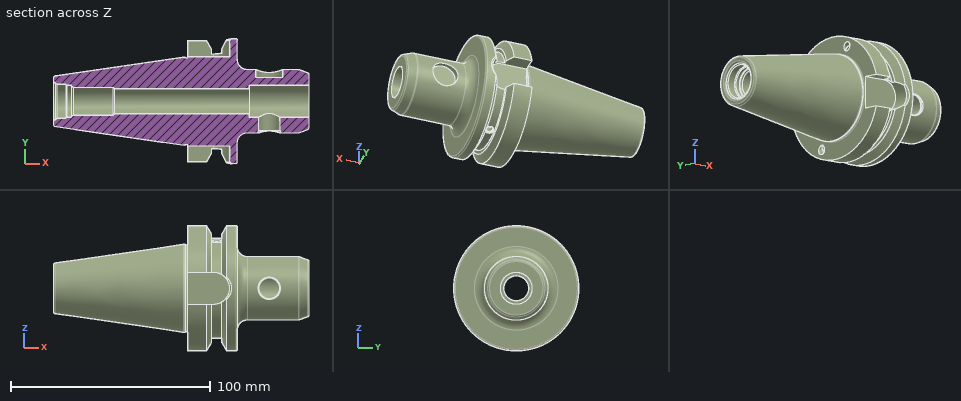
import cadquery as cq
import math


taper_length = 65.4
gauge_diameter = 44.45
taper_ratio = 7 / 24
small_end_diameter = gauge_diameter - taper_length * taper_ratio
small_end_fillet = 1.0

undercut_start = 0.75
undercut_step = 0.2
undercut_depth = 0.35
undercut_fillet = 0.5

flange_front = 2.0
flange_back = 27.0
flange_diameter = 63.0
flange_back_fillet = 0.8
groove_center = 16.6
groove_mouth_width = 10.0
groove_root_width = 5.0
groove_root_diameter = 50.4
groove_flank_angle = 30.0
groove_flank_depth = (groove_mouth_width - groove_root_width) / 2 / math.tan(math.radians(groove_flank_angle))

slot_width = 16.1
slot_arc_center = 15.0
slot_floor = 22.5

nose_end = 63.0
nose_diameter = 32.0
nose_root_fillet = 5.0
nose_cone_start = 57.9
nose_cone_angle = 20.0
nose_cone_blend = 1.0
nose_end_fillet = 1.0

mouth_radius = 10.2
mouth_rounding = 1.0
recess_radius = 8.5
recess_depth = 6.2
pilot_radius = 8.0
pilot_depth = 9.0
thread_mouth_radius = 7.6
thread_mouth_length = 1.0
thread_radius = 6.9
thread_depth = 30.0
through_radius = 6.2
nose_bore_radius = 8.0
nose_bore_depth = 30.0

cross_hole_x = 43.0
clamp_hole_diameter = 10.4
clamp_hole_chamfer_diameter = 11.2
locating_hole_diameter = 13.4
locating_hole_depth = 4.0

coolant_roll = 20.0
coolant_tilt = 30.0
coolant_entry_radius = 26.9
coolant_diameter = 3.7
plug_hole_diameter = 3.3
coolant_thread_diameter = 4.1
coolant_thread_depth = 2.0
plug_hole_thread_depth = 1.0

overcut = 5.0


def cylinder(diameter, length, start, direction):
    return cq.Workplane(cq.Solid.makeCylinder(diameter / 2, length, cq.Vector(*start), cq.Vector(*direction)))


def make_body():
    gauge_radius = gauge_diameter / 2
    undercut_radius = gauge_radius - undercut_depth
    flange_radius = flange_diameter / 2
    root_radius = groove_root_diameter / 2
    flank_radius = flange_radius - groove_flank_depth
    nose_radius = nose_diameter / 2
    cone_drop = (nose_end - nose_cone_start) * math.tan(math.radians(nose_cone_angle))
    profile = (
        cq.Workplane("XY")
        .moveTo(-taper_length, 0)
        .lineTo(-taper_length, small_end_diameter / 2)
        .lineTo(0, gauge_radius)
        .lineTo(undercut_start, gauge_radius)
        .lineTo(undercut_start + undercut_step, undercut_radius)
        .lineTo(flange_front, undercut_radius)
        .lineTo(flange_front, flange_radius)
        .lineTo(groove_center - groove_mouth_width / 2, flange_radius)
        .lineTo(groove_center - groove_root_width / 2, flank_radius)
        .lineTo(groove_center - groove_root_width / 2, root_radius)
        .lineTo(groove_center + groove_root_width / 2, root_radius)
        .lineTo(groove_center + groove_root_width / 2, flank_radius)
        .lineTo(groove_center + groove_mouth_width / 2, flange_radius)
        .lineTo(flange_back, flange_radius)
        .lineTo(flange_back, nose_radius)
        .lineTo(nose_cone_start, nose_radius)
        .lineTo(nose_end, nose_radius - cone_drop)
        .lineTo(nose_end, 0)
        .close()
    )
    body = profile.revolve(360, (0, 0, 0), (1, 0, 0))
    for x, radius, fillet in [
        (-taper_length, small_end_diameter / 2, small_end_fillet),
        (flange_front, undercut_radius, undercut_fillet),
        (flange_back, flange_radius, flange_back_fillet),
        (flange_back, nose_radius, nose_root_fillet),
        (nose_cone_start, nose_radius, nose_cone_blend),
        (nose_end, nose_radius - cone_drop, nose_end_fillet),
    ]:
        body = body.newObject([circular_edge(body, x, radius)]).fillet(fillet)
    return body


def circular_edge(body, x, radius):
    """The edge of the body that runs round the X axis at the given place."""
    def distance(edge):
        point = edge.startPoint()
        return math.hypot(point.x - x, math.hypot(point.y, point.z) - radius)
    circles = [edge for edge in body.edges().vals() if edge.geomType() == "CIRCLE"]
    return min(circles, key=distance)


def make_bore():
    """Bore along the axis; its conical steps all have 45 degree flanks, except the thread mouth."""
    start = -taper_length
    rounded_radius = mouth_radius - mouth_rounding
    rounding_offset = mouth_rounding * (1 - math.sqrt(0.5))
    recess_start = start + mouth_rounding + rounded_radius - recess_radius
    recess_end = start + recess_depth
    pilot_end = start + pilot_depth
    thread_start = pilot_end + thread_mouth_length
    thread_end = start + thread_depth
    nose_bore_start = nose_end - nose_bore_depth
    return (
        cq.Workplane("XY")
        .moveTo(start, 0)
        .lineTo(start, mouth_radius)
        .threePointArc(
            (start + rounding_offset, rounded_radius + rounding_offset),
            (start + mouth_rounding, rounded_radius),
        )
        .lineTo(recess_start, recess_radius)
        .lineTo(recess_end, recess_radius)
        .lineTo(recess_end + recess_radius - pilot_radius, pilot_radius)
        .lineTo(pilot_end, pilot_radius)
        .lineTo(pilot_end, thread_mouth_radius)
        .lineTo(thread_start, thread_radius)
        .lineTo(thread_end, thread_radius)
        .lineTo(thread_end + thread_radius - through_radius, through_radius)
        .lineTo(nose_bore_start, through_radius)
        .lineTo(nose_bore_start, nose_bore_radius)
        .lineTo(nose_end, nose_bore_radius)
        .lineTo(nose_end, 0)
        .close()
        .revolve(360, (0, 0, 0), (1, 0, 0))
    )


def make_drive_slot():
    """Round-ended slot on the +Y side, its arc edge chamfered at the flange rim."""
    slot_radius = slot_width / 2
    rim_radius = flange_diameter / 2
    height = rim_radius + overcut - slot_floor
    straight = cq.Workplane("XY").box(slot_arc_center, height, slot_width, centered=(False, False, True))
    straight = straight.translate((0, slot_floor, 0))
    rounded_end = cylinder(slot_width, height, (slot_arc_center, slot_floor, 0), (0, 1, 0))
    chamfer_base = math.sqrt(rim_radius**2 - slot_radius**2)
    cone = cq.Solid.makeCone(
        slot_radius,
        slot_radius + overcut,
        overcut,
        cq.Vector(slot_arc_center, chamfer_base, 0),
        cq.Vector(0, 1, 0),
    )
    beyond_arc = cq.Workplane("XY").box(
        slot_width, 2 * rim_radius, 2 * slot_width, centered=(False, False, True)
    ).translate((slot_arc_center, 0, 0))
    return straight.union(rounded_end).union(beyond_arc.intersect(cq.Workplane(cone)))


def make_clamp_hole():
    """Chamfered hole from the -Y side into the bore."""
    nose_radius = nose_diameter / 2
    hole = cylinder(clamp_hole_diameter, nose_radius + overcut, (cross_hole_x, 0, 0), (0, -1, 0))
    rim = math.sqrt(nose_radius**2 - (clamp_hole_chamfer_diameter / 2) ** 2)
    chamfer = (clamp_hole_chamfer_diameter - clamp_hole_diameter) / 2
    countersink = cq.Solid.makeCone(
        clamp_hole_diameter / 2,
        clamp_hole_chamfer_diameter / 2,
        chamfer,
        cq.Vector(cross_hole_x, chamfer - rim, 0),
        cq.Vector(0, -1, 0),
    )
    clearance = cylinder(clamp_hole_chamfer_diameter, overcut, (cross_hole_x, -rim, 0), (0, -1, 0))
    return hole.union(cq.Workplane(countersink)).union(clearance)


def make_locating_hole():
    """Blind hole in the +Y side."""
    bottom = nose_diameter / 2 - locating_hole_depth
    return cylinder(locating_hole_diameter, locating_hole_depth + overcut, (cross_hole_x, bottom, 0), (0, 1, 0))


def make_coolant_channel():
    """Tilted channel from the flange face to the bore, met by a plug hole from the groove root."""
    tilt = math.radians(coolant_tilt)
    along_x = math.cos(tilt)
    inwards = math.sin(tilt)
    channel_length = coolant_entry_radius / inwards
    outside = (flange_front - overcut * along_x, 0, coolant_entry_radius + overcut * inwards)
    direction = (along_x, 0, -inwards)
    channel = cylinder(coolant_diameter, overcut + channel_length, outside, direction)
    channel = channel.union(
        cylinder(coolant_thread_diameter, overcut + coolant_thread_depth, outside, direction)
    )
    behind_face = cq.Workplane("XY").box(
        flange_back, flange_diameter, flange_diameter, centered=(False, True, True)
    ).translate((flange_front, 0, 0))
    channel = channel.intersect(behind_face)

    root_radius = groove_root_diameter / 2
    meeting_radius = coolant_entry_radius - (groove_center - flange_front) * math.tan(tilt)
    plug_top = root_radius + groove_flank_depth
    plug_hole = cylinder(
        plug_hole_diameter, plug_top - meeting_radius, (groove_center, 0, meeting_radius), (0, 0, 1)
    )
    thread_bottom = root_radius - plug_hole_thread_depth
    plug_thread = cylinder(
        coolant_thread_diameter, plug_top - thread_bottom, (groove_center, 0, thread_bottom), (0, 0, 1)
    )
    return channel.union(plug_hole).union(plug_thread).rotate((0, 0, 0), (1, 0, 0), coolant_roll)


result = make_body().cut(make_bore())
for half_turn in (0, 180):
    for cutter in (make_drive_slot(), make_coolant_channel()):
        result = result.cut(cutter.rotate((0, 0, 0), (1, 0, 0), half_turn))
result = result.cut(make_clamp_hole()).cut(make_locating_hole())